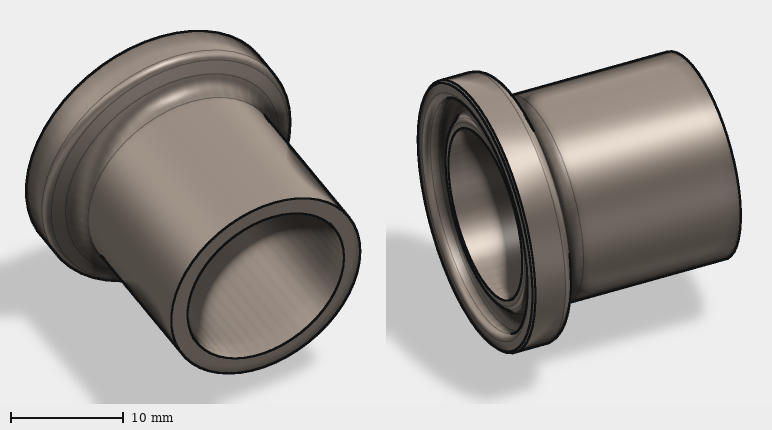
import cadquery as cq
import math

length = 21.5
flange_radius = 12.5
tube_radius = 9.55
bore_radius = 7.9
edge_chamfer = 0.2

shoulder_start = 3.12
shoulder_end = 6.2
shoulder_round = 0.82
root_round = 1.98

lip_round = 0.58
groove_radius = 10.82
groove_arc_start = 1.38
groove_round = 0.8
inner_rim_recess = 1.0
inner_rim_flat_radius = 8.42
inner_rim_round = 0.5


def point_on_arc(center, radius, degrees):
    """Point (x, r) on an arc; 0 degrees is +X and 90 degrees is outward."""
    angle = math.radians(degrees)
    return center[0] + radius * math.cos(angle), center[1] + radius * math.sin(angle)


def crossing_tangent_angle(start_center, end_center, radius_sum):
    """Direction of the normal to the line that touches two arcs on opposite sides."""
    dx = end_center[0] - start_center[0]
    dr = end_center[1] - start_center[1]
    offset = math.acos(radius_sum / math.hypot(dx, dr))
    return math.degrees(math.atan2(dr, dx) + offset)


edge_center = (shoulder_start, flange_radius - shoulder_round)
root_center = (shoulder_end, tube_radius + root_round)
flank_angle = crossing_tangent_angle(edge_center, root_center, shoulder_round + root_round)

groove_center = (groove_arc_start, groove_radius - groove_round)
rim_center = (inner_rim_recess + inner_rim_round, inner_rim_flat_radius)
slope_angle = crossing_tangent_angle(groove_center, rim_center, groove_round + inner_rim_round)

lip_center = (lip_round, groove_radius + lip_round)

profile = (
    cq.Workplane("XY")
    .moveTo(inner_rim_recess, bore_radius)
    .lineTo(length, bore_radius)
    .lineTo(length, tube_radius)
    .lineTo(shoulder_end, tube_radius)
    .threePointArc(
        point_on_arc(root_center, root_round, (flank_angle + 180 + 270) / 2),
        point_on_arc(root_center, root_round, flank_angle + 180),
    )
    .lineTo(*point_on_arc(edge_center, shoulder_round, flank_angle))
    .threePointArc(
        point_on_arc(edge_center, shoulder_round, (flank_angle + 90) / 2),
        (shoulder_start, flange_radius),
    )
    .lineTo(edge_chamfer, flange_radius)
    .lineTo(0, flange_radius - edge_chamfer)
    .lineTo(0, lip_center[1])
    .threePointArc(
        point_on_arc(lip_center, lip_round, 225),
        (lip_round, groove_radius),
    )
    .lineTo(groove_arc_start, groove_radius)
    .threePointArc(
        point_on_arc(groove_center, groove_round, (90 + slope_angle) / 2),
        point_on_arc(groove_center, groove_round, slope_angle),
    )
    .lineTo(*point_on_arc(rim_center, inner_rim_round, slope_angle + 180))
    .threePointArc(
        point_on_arc(rim_center, inner_rim_round, (slope_angle + 360) / 2),
        (inner_rim_recess, inner_rim_flat_radius),
    )
    .close()
)

result = profile.revolve(360, (0, 0, 0), (1, 0, 0))